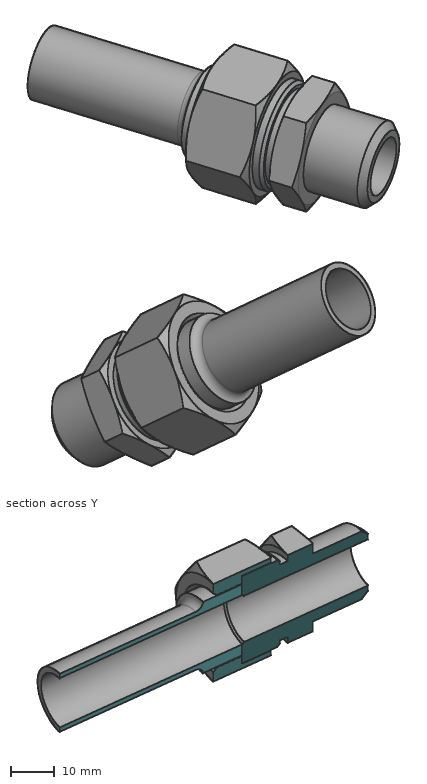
import cadquery as cq
import math

TUBE_END = 37.9
NUT_START = 42.8
NUT_END = 59.0
COLLAR_CHAMFER_START = 60.7
COLLAR_END = 61.5
HEX_START = 63.55
HEX_END = 70.6
TOTAL_LENGTH = 86

TUBE_DIAMETER = 18.0
TUBE_BORE = 15.0
SHOULDER_DIAMETER = 22.0
COLLAR_DIAMETER = 26.7
NECK_DIAMETER = 23.4
SPIGOT_DIAMETER = 21.0
SPIGOT_TIP_DIAMETER = 17.5
CONNECTOR_BORE = 14.0

NUT_FLATS = 30.0
NUT_HOLE = 22.1
NUT_MOUTH = 24.1
HEX_FLATS = 27.0
NUT_CHAMFER_ANGLE = 30
HEX_FRONT_ANGLE = 20
HEX_REAR_ANGLE = 15

SHOULDER_FILLET = (SHOULDER_DIAMETER - TUBE_DIAMETER) / 2
SHOULDER_START = TUBE_END + SHOULDER_FILLET
SPIGOT_CHAMFER = (SPIGOT_DIAMETER - SPIGOT_TIP_DIAMETER) / 2
JOINT = (NUT_START + NUT_END) / 2


def cylinder(diameter, start, end):
    """Solid cylinder on the X axis."""
    return cq.Workplane("YZ", origin=(start, 0, 0)).circle(diameter / 2).extrude(end - start)


def revolve_about_x(profile):
    """Revolve a closed profile of (x, radius) points about the X axis."""
    return profile.close().revolve(360, (0, 0, 0), (1, 0, 0))


def chamfered_hexagon(flats, start, end, start_angle, end_angle):
    """Hexagonal prism on X with flats up and down and its corners turned off conically."""
    corners = flats / math.cos(math.radians(30))
    rise = (corners - flats) / 2
    start_length = rise * math.tan(math.radians(start_angle))
    end_length = rise * math.tan(math.radians(end_angle))
    prism = cq.Workplane("YZ", origin=(start, 0, 0)).polygon(6, corners).extrude(end - start)
    turned = revolve_about_x(
        cq.Workplane("XY")
        .moveTo(start, 0)
        .lineTo(start, flats / 2)
        .lineTo(start + start_length, corners / 2)
        .lineTo(end - end_length, corners / 2)
        .lineTo(end, flats / 2)
        .lineTo(end, 0)
    )
    return prism.intersect(turned)


def make_tube():
    """Tube whose filleted shoulder is held inside the nut."""
    arc_offset = SHOULDER_FILLET * math.sqrt(0.5)
    arc_middle = (TUBE_END + arc_offset, SHOULDER_DIAMETER / 2 - arc_offset)
    return revolve_about_x(
        cq.Workplane("XY")
        .moveTo(0, TUBE_BORE / 2)
        .lineTo(0, TUBE_DIAMETER / 2)
        .lineTo(TUBE_END, TUBE_DIAMETER / 2)
        .threePointArc(arc_middle, (SHOULDER_START, SHOULDER_DIAMETER / 2))
        .lineTo(JOINT, SHOULDER_DIAMETER / 2)
        .lineTo(JOINT, TUBE_BORE / 2)
    )


def make_nut():
    """Union nut with a countersunk tube hole and a wider bore over the connector collar."""
    countersink = (NUT_MOUTH - NUT_HOLE) / 2
    bore = cylinder(COLLAR_DIAMETER, JOINT, NUT_END)
    hole = revolve_about_x(
        cq.Workplane("XY")
        .moveTo(NUT_START, 0)
        .lineTo(NUT_START, NUT_MOUTH / 2)
        .lineTo(NUT_START + countersink, NUT_HOLE / 2)
        .lineTo(JOINT, NUT_HOLE / 2)
        .lineTo(JOINT, 0)
    )
    body = chamfered_hexagon(NUT_FLATS, NUT_START, NUT_END, NUT_CHAMFER_ANGLE, NUT_CHAMFER_ANGLE)
    return body.cut(hole).cut(bore)


def make_connector():
    """Connector with a collar, neck, hexagon and chamfered spigot, its bore countersunk to the tube."""
    collar_chamfer = COLLAR_END - COLLAR_CHAMFER_START
    collar = cylinder(COLLAR_DIAMETER, JOINT, COLLAR_END).faces(">X").chamfer(collar_chamfer)
    neck = cylinder(NECK_DIAMETER, COLLAR_END, HEX_START)
    hexagon = chamfered_hexagon(HEX_FLATS, HEX_START, HEX_END, HEX_FRONT_ANGLE, HEX_REAR_ANGLE)
    spigot = cylinder(SPIGOT_DIAMETER, HEX_END, TOTAL_LENGTH).faces(">X").chamfer(SPIGOT_CHAMFER)
    countersink = (TUBE_BORE - CONNECTOR_BORE) / 2
    bore = revolve_about_x(
        cq.Workplane("XY")
        .moveTo(JOINT, 0)
        .lineTo(JOINT, TUBE_BORE / 2)
        .lineTo(JOINT + countersink, CONNECTOR_BORE / 2)
        .lineTo(TOTAL_LENGTH, CONNECTOR_BORE / 2)
        .lineTo(TOTAL_LENGTH, 0)
    )
    return collar.union(neck).union(hexagon).union(spigot).cut(bore)


tube = make_tube()
nut = make_nut()
connector = make_connector()

result = cq.Compound.makeCompound([tube.val(), nut.val(), connector.val()])